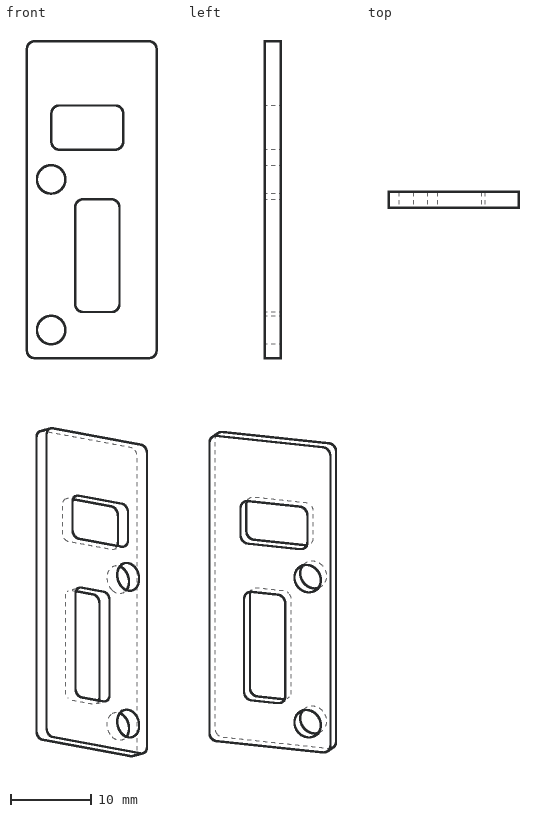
import cadquery as cq

width = 16.2
thickness = 2.0
height = 39.5
corner_radius = 1.0

window_radius = 1.0
window_short_side = 5.5
upper_window_left = 3.1
upper_window_bottom = 26.0
upper_window_width = 8.93
lower_window_left = 6.05
lower_window_bottom = 5.75
lower_window_height = 14.02

hole_diameter = 3.5
hole_x = 3.05
lower_hole_z = 3.5
hole_spacing = 18.75


def rounded_block(left, bottom, size_x, size_z, radius):
    """Block through the plate thickness with its four Y edges rounded."""
    block = cq.Workplane("XY").box(size_x, thickness, size_z, centered=False)
    return block.edges("|Y").fillet(radius).translate((left, 0, bottom))


def round_hole(x, z):
    """Cylinder through the plate thickness along Y."""
    cylinder = cq.Workplane("XZ").circle(hole_diameter / 2).extrude(-thickness)
    return cylinder.translate((x, 0, z))


plate = rounded_block(0, 0, width, height, corner_radius)

upper_window = rounded_block(
    upper_window_left, upper_window_bottom, upper_window_width, window_short_side, window_radius
)
lower_window = rounded_block(
    lower_window_left, lower_window_bottom, window_short_side, lower_window_height, window_radius
)

result = plate.cut(upper_window).cut(lower_window)
for hole_z in (lower_hole_z, lower_hole_z + hole_spacing):
    result = result.cut(round_hole(hole_x, hole_z))